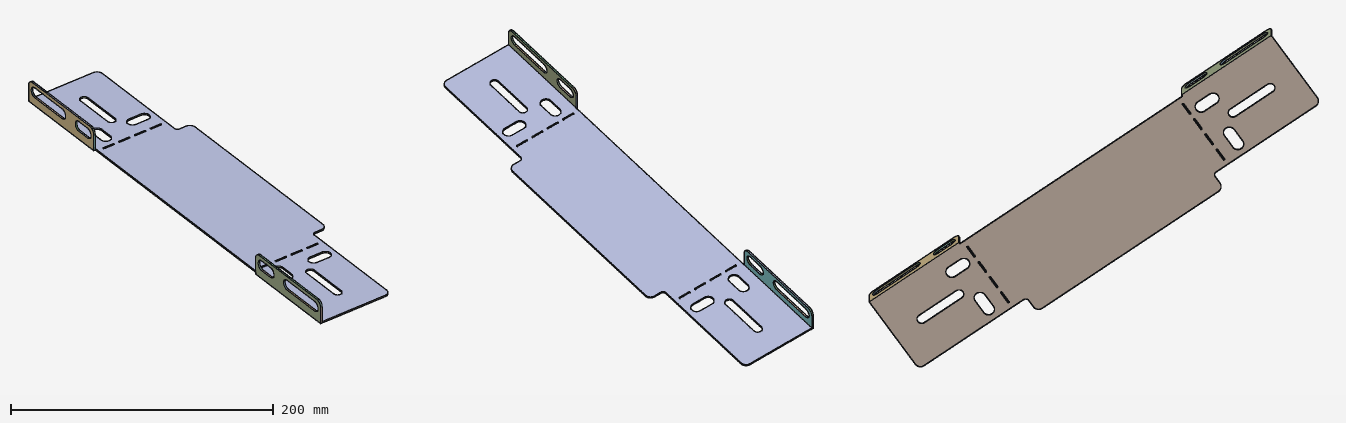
import cadquery as cq

length = 374.0
depth = 80.0
height = 20.0
thickness = 1.5

wing_depth = 66.2
tongue_width = 173.5
flange_length = 83.5
corner_radius = 5.0
inner_corner_radius = 2.5

wide_slot = 9.0
short_slot_length = 20.2
short_slot_x = 116.0
rear_slot_y = 51.5
front_slot_y = 16.5
narrow_slot_width = 7.0
narrow_slot_length = 42.0
narrow_slot_x = 144.7
narrow_slot_y = 34.5

flange_slot_z = 12.0
flange_long_slot_length = 44.0
flange_long_slot_x = 161.5
flange_short_slot_x = 117.0

perforation_width = 1.0
perforation_length = 10.0
perforation_pitch = 15.0
perforation_count = 4
perforation_x = 100.2
perforation_row_y = 34.0

sides = (-1, 1)


def make_plate():
    """Flat plate with a rear tongue and a front edge set back between the flanges."""
    wings = (
        cq.Workplane("XY")
        .box(length, wing_depth, thickness, centered=(True, False, False))
        .edges("|Z and >Y")
        .fillet(corner_radius)
    )
    tongue = (
        cq.Workplane("XY")
        .box(tongue_width, depth, thickness, centered=(True, False, False))
        .edges("|Z and >Y")
        .fillet(corner_radius)
    )
    inner_corners = cq.selectors.BoxSelector(
        (-tongue_width, wing_depth - thickness, -thickness),
        (tongue_width, wing_depth + thickness, 2 * thickness),
    )
    plate = (
        wings.union(tongue)
        .edges("|Z")
        .edges(inner_corners)
        .fillet(inner_corner_radius)
    )
    setback = cq.Workplane("XY").box(
        length - 2 * flange_length, thickness, thickness, centered=(True, False, False)
    )
    return plate.cut(setback)


def make_flange(side):
    """Upright flange along the front edge of one wing, rounded at its top corners."""
    center_x = side * (length - flange_length) / 2
    return (
        cq.Workplane("XY")
        .box(flange_length, thickness, height, centered=(True, False, False))
        .edges("|Y and >Z")
        .fillet(corner_radius)
        .translate((center_x, 0, 0))
    )


def plate_slot(x, y, slot_length, slot_width, angle=0):
    """Cutter for a round-ended slot through the plate."""
    return cq.Workplane("XY").center(x, y).slot2D(slot_length, slot_width, angle).extrude(thickness)


def flange_slot(x, slot_length):
    """Cutter for a round-ended slot through a flange."""
    return (
        cq.Workplane("XZ")
        .center(x, flange_slot_z)
        .slot2D(slot_length, wide_slot)
        .extrude(-thickness)
    )


def perforation_row(x):
    """Cutter for one row of thin rectangular perforations running along Y."""
    return (
        cq.Workplane("XY")
        .center(x, perforation_row_y)
        .rarray(3.7, perforation_pitch, 1, perforation_count)
        .rect(perforation_width, perforation_length)
        .extrude(thickness)
    )


result = make_plate()
for side in sides:
    result = result.union(make_flange(side))

for side in sides:
    cutters = (
        plate_slot(side * short_slot_x, rear_slot_y, short_slot_length, wide_slot, angle=90),
        plate_slot(side * short_slot_x, front_slot_y, short_slot_length, wide_slot),
        plate_slot(side * narrow_slot_x, narrow_slot_y, narrow_slot_length, narrow_slot_width),
        flange_slot(side * flange_long_slot_x, flange_long_slot_length),
        flange_slot(side * flange_short_slot_x, short_slot_length),
        perforation_row(side * perforation_x),
    )
    for cutter in cutters:
        result = result.cut(cutter)